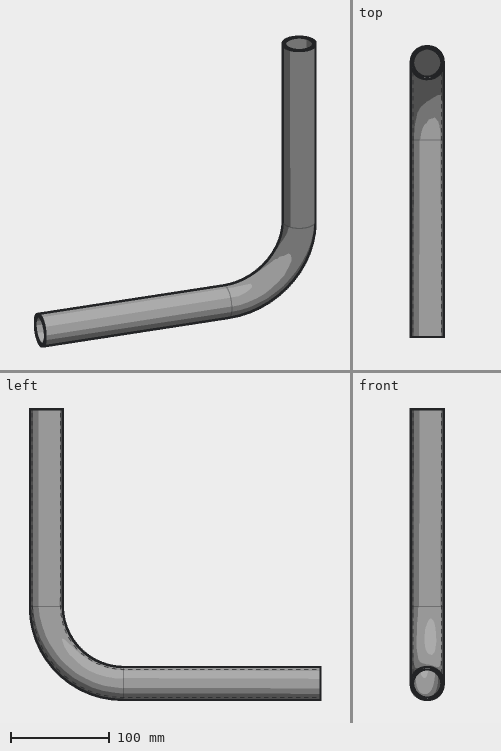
import cadquery as cq
import math

overall_size = 294.8
outer_diameter = 33.5
wall = 2.5
leg_length = 200.0

outer_radius = outer_diameter / 2
inner_radius = outer_radius - wall
bend_radius = overall_size - leg_length - outer_radius


def tube_centreline():
    """Path in the YZ plane: down the vertical leg, round the bend, out along -Y."""
    bend_offset = bend_radius * (1 - math.cos(math.pi / 4))
    bend_middle = (-bend_offset, bend_offset)
    return (
        cq.Workplane("YZ")
        .moveTo(0, bend_radius + leg_length)
        .lineTo(0, bend_radius)
        .threePointArc(bend_middle, (-bend_radius, 0))
        .lineTo(-bend_radius - leg_length, 0)
    )


upper_end = cq.Workplane("XY").workplane(offset=bend_radius + leg_length)
result = upper_end.circle(outer_radius).circle(inner_radius).sweep(tube_centreline())